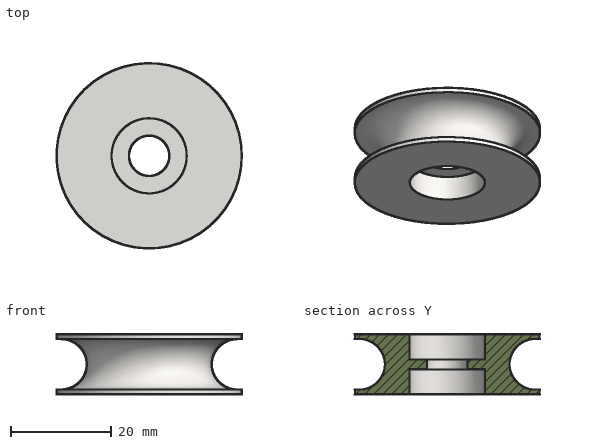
import cadquery as cq

outer_diameter = 37.0
width = 12.0
groove_radius = 5.0
rim_land = 1.0
bore_diameter = 8.0
seat_diameter = 15.0
seat_depth = 5.0

outer_radius = outer_diameter / 2
half_width = width / 2
groove_edge_radius = outer_radius - rim_land
groove_floor_radius = groove_edge_radius - groove_radius


def grooved_body():
    """Revolve the half section, with its semicircular rope groove, about Z."""
    half_section = (
        cq.Workplane("XZ")
        .moveTo(0, -half_width)
        .lineTo(outer_radius, -half_width)
        .lineTo(outer_radius, -groove_radius)
        .lineTo(groove_edge_radius, -groove_radius)
        .threePointArc((groove_floor_radius, 0), (groove_edge_radius, groove_radius))
        .lineTo(outer_radius, groove_radius)
        .lineTo(outer_radius, half_width)
        .lineTo(0, half_width)
        .close()
    )
    return half_section.revolve(360, (0, 0, 0), (0, 1, 0))


def cut_bearing_seat(body, face):
    """Cut the flat-bottomed seat into the chosen end face."""
    return body.faces(face).workplane().circle(seat_diameter / 2).cutBlind(-seat_depth)


def cut_bore(body):
    """Cut the axle bore through the full width."""
    bore = cq.Workplane("XY").circle(bore_diameter / 2).extrude(half_width, both=True)
    return body.cut(bore)


result = grooved_body()
for end_face in (">Z", "<Z"):
    result = cut_bearing_seat(result, end_face)
result = cut_bore(result)